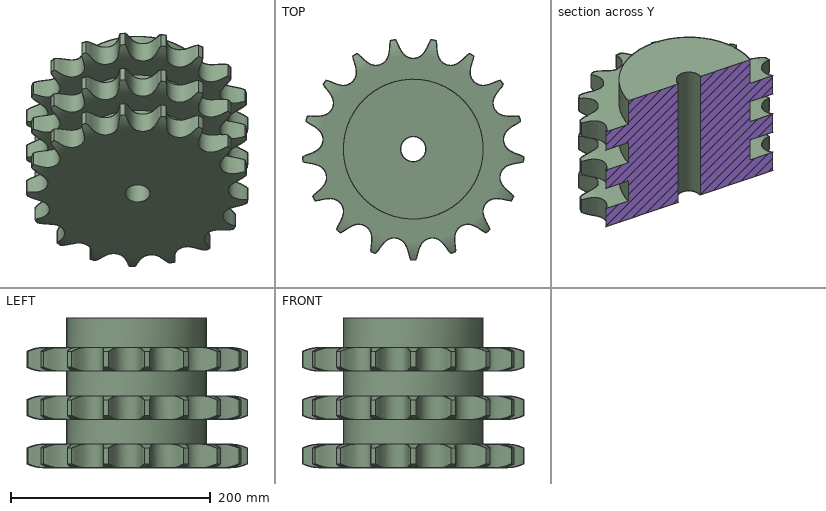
import math

import cadquery as cq


CHAIN_PITCH = 38.1
ROLLER_DIAMETER = 25.4
ROW_COUNT = 3
ROW_SPACING = 48.36

TOOTH_COUNT = 17
TIP_DIAMETER = 222.3
ROW_WIDTH = 23.6
HUB_DIAMETER = 140.0
BORE_DIAMETER = 25.0
TOTAL_HEIGHT = 150.0
FIRST_TOOTH_ANGLE = -90.0

SIDE_ROUND_RADIUS = CHAIN_PITCH
SIDE_RELIEF_WIDTH = 17.0

ROLLER_CLEARANCE = 0.0381
HALF_TOOTH_ANGLE = math.pi / TOOTH_COUNT
PITCH_RADIUS = CHAIN_PITCH / (2 * math.sin(HALF_TOOTH_ANGLE))
SEAT_RADIUS = 0.5025 * ROLLER_DIAMETER + ROLLER_CLEARANCE
SEAT_END_ANGLE = math.radians(35 + 60 / TOOTH_COUNT)
WORKING_SWEEP = math.radians(18 - 56 / TOOTH_COUNT)
WORKING_CENTER_DISTANCE = 0.8 * ROLLER_DIAMETER
WORKING_RADIUS = SEAT_RADIUS + WORKING_CENTER_DISTANCE
TOPPING_CENTER_DISTANCE = 1.4 * ROLLER_DIAMETER


def polar(center, radius, angle):
    """Point at a radius and angle (radians) from a center."""
    return (center[0] + radius * math.cos(angle), center[1] + radius * math.sin(angle))


def flank_points():
    """Right half of one tooth gap, from its root to the sharp tip of the uncropped tooth.

    The origin is the roller center and +Y points away from the sprocket axis.
    """
    roller_center = (0.0, 0.0)
    root = polar(roller_center, SEAT_RADIUS, -math.pi / 2)
    seat_end = polar(roller_center, SEAT_RADIUS, -SEAT_END_ANGLE)

    flank_normal = WORKING_SWEEP - SEAT_END_ANGLE
    working_center = polar(roller_center, WORKING_CENTER_DISTANCE, math.pi - SEAT_END_ANGLE)
    working_middle = polar(working_center, WORKING_RADIUS, -SEAT_END_ANGLE + WORKING_SWEEP / 2)
    working_end = polar(working_center, WORKING_RADIUS, flank_normal)

    topping_center = polar(roller_center, TOPPING_CENTER_DISTANCE, -HALF_TOOTH_ANGLE)
    topping_radius = (
        (topping_center[0] - working_end[0]) * math.cos(flank_normal)
        + (topping_center[1] - working_end[1]) * math.sin(flank_normal)
    )
    topping_start_angle = flank_normal + math.pi
    topping_start = polar(topping_center, topping_radius, topping_start_angle)

    center_past_tooth = TOPPING_CENTER_DISTANCE - CHAIN_PITCH / 2
    topping_end_angle = math.pi - HALF_TOOTH_ANGLE - math.acos(center_past_tooth / topping_radius)
    topping_middle = polar(topping_center, topping_radius, (topping_start_angle + topping_end_angle) / 2)
    topping_end = polar(topping_center, topping_radius, topping_end_angle)

    return [
        root, seat_end, working_middle, working_end,
        topping_start, topping_middle, topping_end,
    ]


def place_in_gap(point, gap_angle):
    """Move a point from the roller frame to the gap at the given angle (radians) about the axis."""
    outward = PITCH_RADIUS + point[1]
    sideways = point[0]
    return (
        outward * math.cos(gap_angle) + sideways * math.sin(gap_angle),
        outward * math.sin(gap_angle) - sideways * math.cos(gap_angle),
    )


def pointed_tooth_prism():
    """Prism with the full tooth outline, each tooth running up to a sharp tip."""
    right = flank_points()
    left = [(-x, y) for x, y in right]
    first_gap_angle = math.radians(FIRST_TOOTH_ANGLE) + HALF_TOOTH_ANGLE

    outline = cq.Workplane("XY").moveTo(*place_in_gap(right[-1], first_gap_angle))
    for index in range(TOOTH_COUNT):
        gap_angle = first_gap_angle + 2 * HALF_TOOTH_ANGLE * index
        (root, seat_end_in, working_in, working_end_in,
         topping_start_in, topping_in, _) = [place_in_gap(p, gap_angle) for p in right]
        (_, seat_end_out, working_out, working_end_out,
         topping_start_out, topping_out, tip_out) = [place_in_gap(p, gap_angle) for p in left]
        outline = (
            outline.threePointArc(topping_in, topping_start_in)
            .lineTo(*working_end_in)
            .threePointArc(working_in, seat_end_in)
            .threePointArc(root, seat_end_out)
            .threePointArc(working_out, working_end_out)
            .lineTo(*topping_start_out)
            .threePointArc(topping_out, tip_out)
        )
    return outline.close().extrude(ROW_WIDTH)


def rounded_disc():
    """Turned disc of one row, its rim rounded on both sides."""
    tip_radius = TIP_DIAMETER / 2
    face_radius = tip_radius - SIDE_RELIEF_WIDTH

    def side_drop(distance):
        return SIDE_ROUND_RADIUS - math.sqrt(SIDE_ROUND_RADIUS**2 - distance**2)

    rim_drop = side_drop(SIDE_RELIEF_WIDTH)
    middle_drop = side_drop(SIDE_RELIEF_WIDTH / 2)
    middle_radius = face_radius + SIDE_RELIEF_WIDTH / 2
    return (
        cq.Workplane("XZ")
        .lineTo(face_radius, 0)
        .threePointArc((middle_radius, middle_drop), (tip_radius, rim_drop))
        .lineTo(tip_radius, ROW_WIDTH - rim_drop)
        .threePointArc((middle_radius, ROW_WIDTH - middle_drop), (face_radius, ROW_WIDTH))
        .lineTo(0, ROW_WIDTH)
        .close()
        .revolve(360, (0, 0, 0), (0, 1, 0))
    )


def sprocket():
    """Hub with its toothed rows and the through bore."""
    toothed_row = rounded_disc().intersect(pointed_tooth_prism())
    body = cq.Workplane("XY").circle(HUB_DIAMETER / 2).extrude(TOTAL_HEIGHT)
    for row in range(ROW_COUNT):
        body = body.union(toothed_row.translate((0, 0, row * ROW_SPACING)))
    bore = cq.Workplane("XY").circle(BORE_DIAMETER / 2).extrude(TOTAL_HEIGHT)
    return body.cut(bore)


result = sprocket()